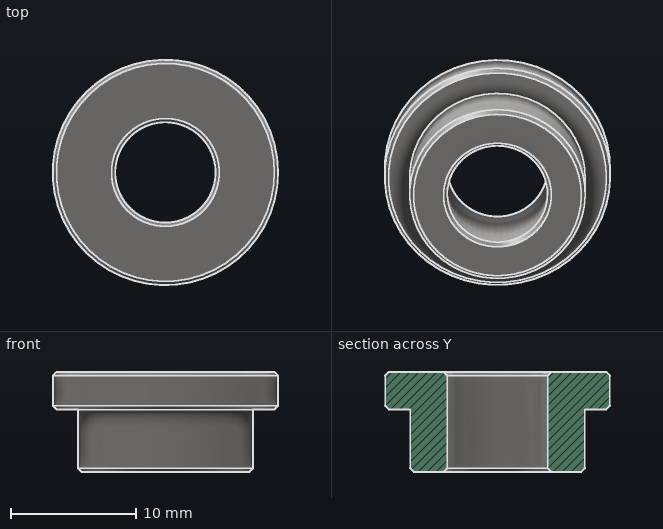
import cadquery as cq

flange_diameter = 18.0
body_diameter = 14.0
bore_diameter = 8.0
total_height = 8.0
flange_height = 3.0
edge_chamfer = 0.3

body_height = total_height - flange_height

body = (
    cq.Workplane("XY")
    .circle(body_diameter / 2)
    .extrude(body_height)
    .faces("<Z")
    .edges()
    .chamfer(edge_chamfer)
)

flange = (
    cq.Workplane("XY")
    .workplane(offset=body_height)
    .circle(flange_diameter / 2)
    .extrude(flange_height)
    .edges("%CIRCLE")
    .chamfer(edge_chamfer)
)

bore_radius = bore_diameter / 2
bore_rim_radius = bore_radius + edge_chamfer
bore = (
    cq.Workplane("XZ")
    .moveTo(0, 0)
    .lineTo(bore_rim_radius, 0)
    .lineTo(bore_radius, edge_chamfer)
    .lineTo(bore_radius, total_height - edge_chamfer)
    .lineTo(bore_rim_radius, total_height)
    .lineTo(0, total_height)
    .close()
    .revolve(360, (0, 0, 0), (0, 1, 0))
)

result = body.union(flange).cut(bore)